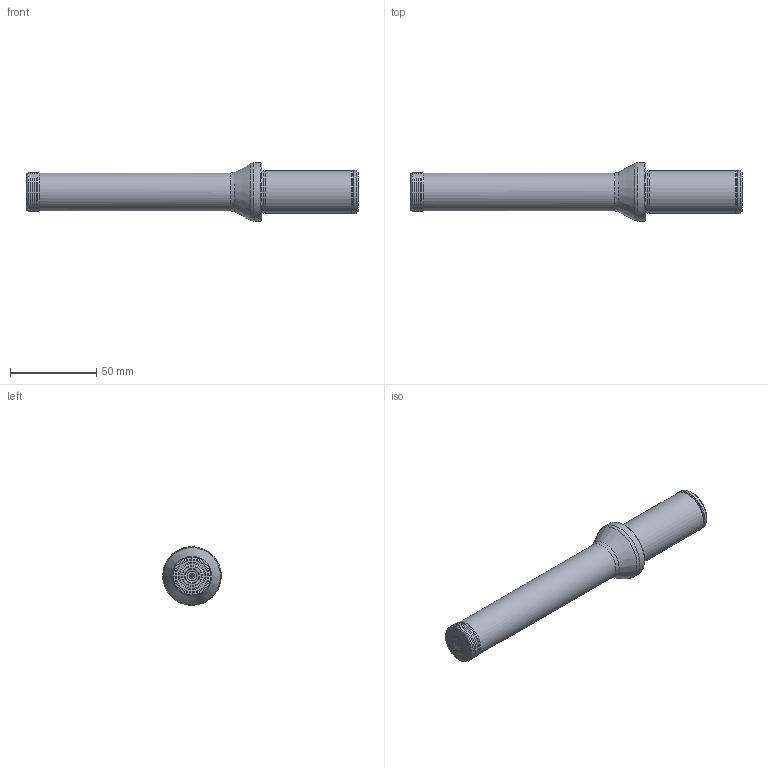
import cadquery as cq
import math


total_length = 193.0
tip_dia = 22.8
body_rim_dia = 22.5
neck_dia = 22.0
collar_dia = 34.0
shank_dia = 25.0
relief_dia = 24.5

facet_pitch = 1.2
rim_facets = 5
tip_length = rim_facets * facet_pitch
tip_radius = tip_dia / 2

first_ring_drop = 0.04
second_ring_drop = 0.12
third_ring_drop = 0.15

end_face_facets = [
    (0.60, 0),
    (1.65, -4.5),
    (2.75, -10),
    (4.00, -15.5),
    (4.40, -5),
    (5.45, 0),
    (5.75, 9),
    (6.00, 30),
    (7.10, 9),
    (8.00, 0),
    (9.20, -4),
    (9.55, 0),
    (9.95, 8),
    (10.85, 13),
]

body_rim_width = 0.5
body_rim_end = tip_length + body_rim_width
neck_start = 7.7
cone_start = 120.0
cone_end = 131.5
collar_end = 137.0
collar_chamfer = 0.5
cone_foot_fillet = 4.5
cone_top_fillet = 4.0
shank_relief_width = 1.0
shank_start = collar_end + 2.1
end_groove_start = 189.2
end_groove_width = 1.2
groove_flank = 0.4
end_chamfer = 1.0


def revolve_about_x(points):
    """Turn a closed outline of (x, radius) points about the X axis."""
    outline = cq.Workplane("XY").polyline(points).close()
    return outline.revolve(360, (0, 0, 0), (1, 0, 0))


def end_face_points():
    """Points of the ringed end face, with its foremost ring at x = 0."""
    points = [(0.0, 0.0)]
    for radius, tilt in end_face_facets:
        last_x, last_radius = points[-1]
        x = last_x + (radius - last_radius) * math.tan(math.radians(tilt))
        points.append((x, radius))
    front = min(x for x, radius in points)
    return [(x - front, radius) for x, radius in points]


def make_cutting_tip():
    rim = [
        (facet_pitch, tip_radius),
        (2 * facet_pitch, tip_radius - first_ring_drop),
        (3 * facet_pitch, tip_radius - second_ring_drop),
        (4 * facet_pitch, tip_radius - third_ring_drop),
        (tip_length, body_rim_dia / 2),
    ]
    return revolve_about_x(end_face_points() + rim + [(tip_length, 0)])


def circles_at(x):
    """Selector for the circular edges centred at x on the axis."""
    reach = collar_dia
    slack = 0.01
    return cq.selectors.BoxSelector((x - slack, -reach, -reach), (x + slack, reach, reach))


def make_drill_body():
    body_rim_radius = body_rim_dia / 2
    neck_radius = neck_dia / 2
    collar_radius = collar_dia / 2
    shank_radius = shank_dia / 2
    relief_radius = relief_dia / 2
    end_groove_end = end_groove_start + end_groove_width
    body = revolve_about_x([
        (tip_length, 0),
        (tip_length, body_rim_radius),
        (body_rim_end, body_rim_radius),
        (neck_start, neck_radius),
        (cone_start, neck_radius),
        (cone_end, collar_radius),
        (collar_end, collar_radius),
        (collar_end, relief_radius),
        (collar_end + shank_relief_width, relief_radius),
        (shank_start, shank_radius),
        (end_groove_start, shank_radius),
        (end_groove_start + groove_flank, relief_radius),
        (end_groove_end - groove_flank, relief_radius),
        (end_groove_end, shank_radius),
        (total_length, shank_radius),
        (total_length, 0),
    ])
    body = body.edges(circles_at(cone_start)).fillet(cone_foot_fillet)
    body = body.edges(circles_at(cone_end)).fillet(cone_top_fillet)
    body = body.faces(">X").edges().chamfer(end_chamfer)
    collar_edge = cq.selectors.RadiusNthSelector(-1)
    return body.edges(circles_at(collar_end)).edges(collar_edge).chamfer(collar_chamfer)


cutting_tip = make_cutting_tip()
drill_body = make_drill_body()

result = cq.Compound.makeCompound([cutting_tip.val(), drill_body.val()])